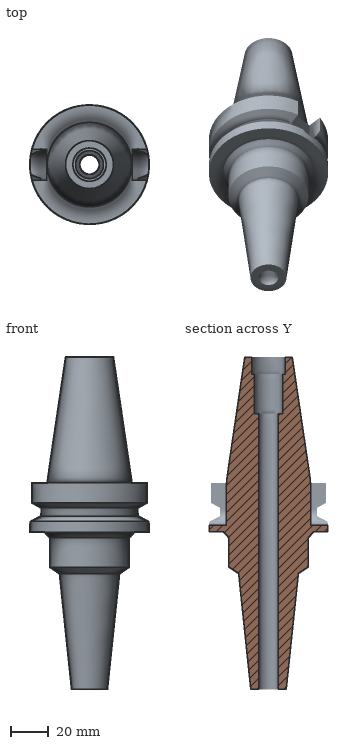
import cadquery as cq

total_length = 175.4

taper_length = 65.5
taper_small_radius = 12.6
taper_large_radius = 22.3
neck_length = 1.0

flange_radius = 31.48
flange_thickness = 26.0
upper_rim_thickness = 10.5
lower_rim_thickness = 5.6
groove_radius = 26.75
groove_floor_width = 4.4

body_radius = 21.0
body_top_cone_radius = 23.9
body_top_cone_height = 3.0
body_length = 15.5
body_bottom_cone_height = 3.5

nose_top_radius = 15.87
nose_tip_radius = 9.5

slot_width = 16.3
slot_depth_below_flange_top = 22.1
slot_floor_distance = 22.5

through_bore_radius = 5.0
thread_bore_radius = 7.4
thread_bore_depth = 29.8
entry_bore_radius = 8.8
entry_bore_depth = 9.1

gauge_z = total_length - taper_length
flange_top_z = gauge_z - neck_length
flange_bottom_z = flange_top_z - flange_thickness
groove_wall_height = (flange_thickness - upper_rim_thickness - lower_rim_thickness - groove_floor_width) / 2
upper_rim_bottom_z = flange_top_z - upper_rim_thickness
lower_rim_top_z = flange_bottom_z + lower_rim_thickness
body_top_z = flange_bottom_z - body_top_cone_height
body_bottom_z = body_top_z - body_length
nose_top_z = body_bottom_z - body_bottom_cone_height


def turned_body():
    """Revolve the outer half-profile about the Z axis."""
    profile = [
        (0, 0),
        (nose_tip_radius, 0),
        (nose_top_radius, nose_top_z),
        (body_radius, body_bottom_z),
        (body_radius, body_top_z),
        (body_top_cone_radius, flange_bottom_z),
        (flange_radius, flange_bottom_z),
        (flange_radius, lower_rim_top_z),
        (groove_radius, lower_rim_top_z + groove_wall_height),
        (groove_radius, upper_rim_bottom_z - groove_wall_height),
        (flange_radius, upper_rim_bottom_z),
        (flange_radius, flange_top_z),
        (taper_large_radius, flange_top_z),
        (taper_large_radius, gauge_z),
        (taper_small_radius, total_length),
        (0, total_length),
    ]
    return cq.Workplane("XZ").polyline(profile).close().revolve(360, (0, 0), (0, 1))


def drive_slot(side):
    """Round-bottomed slot, open at the flange top; side is +1 or -1 along X."""
    half_width = slot_width / 2
    slot_bottom_z = flange_top_z - slot_depth_below_flange_top
    arc_center_z = slot_bottom_z + half_width
    return (
        cq.Workplane("YZ", origin=(side * slot_floor_distance, 0, 0))
        .moveTo(-half_width, flange_top_z)
        .lineTo(-half_width, arc_center_z)
        .threePointArc((0, slot_bottom_z), (half_width, arc_center_z))
        .lineTo(half_width, flange_top_z)
        .close()
        .extrude(side * flange_radius)
    )


def bore_from_top(radius, depth):
    """Cylinder running down from the small end of the spindle taper."""
    return cq.Workplane("XY").workplane(offset=total_length).circle(radius).extrude(-depth)


result = turned_body()
for side in (1, -1):
    result = result.cut(drive_slot(side))

bores = (
    (through_bore_radius, total_length),
    (thread_bore_radius, thread_bore_depth),
    (entry_bore_radius, entry_bore_depth),
)
for radius, depth in bores:
    result = result.cut(bore_from_top(radius, depth))